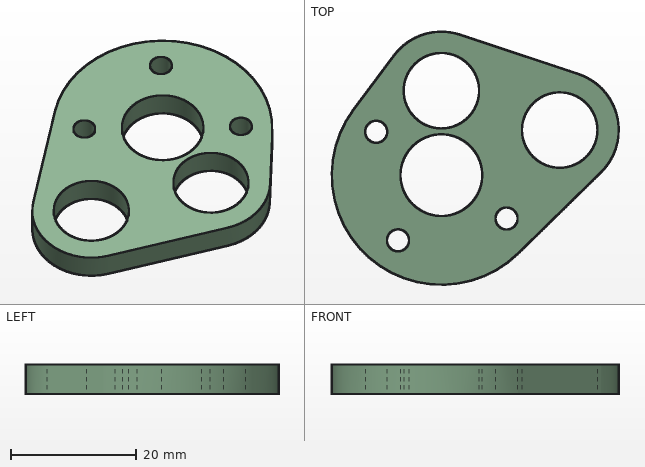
import cadquery as cq
import math

thickness = 4.75
main_radius = 17.5
lobe_radius = 9.45
main_bore_diameter = 13.0
lobe_bore_diameter = 12.0
screw_hole_diameter = 3.5
total_length = 45.8
total_width = 40.4
side_lobe_y = 7.2
screw_x, screw_y = 10.4, -6.9

main_center = (0.0, 0.0)
side_lobe = (total_length - main_radius - lobe_radius, side_lobe_y)
top_lobe = (0.0, total_width - main_radius - lobe_radius)

outline_circles = [
    (main_center, main_radius),
    (side_lobe, lobe_radius),
    (top_lobe, lobe_radius),
]


def tangent_angle(first, second):
    """Direction from either centre to its contact point on the shared outer tangent."""
    (x1, y1), r1 = first
    (x2, y2), r2 = second
    distance = math.hypot(x2 - x1, y2 - y1)
    return math.atan2(y2 - y1, x2 - x1) - math.acos((r1 - r2) / distance)


def point_on(circle, angle):
    (x, y), radius = circle
    return (x + radius * math.cos(angle), y + radius * math.sin(angle))


def make_plate():
    """Plate bounded by arcs of the three circles and their outer tangents."""
    count = len(outline_circles)
    exit_angles = [
        tangent_angle(outline_circles[i], outline_circles[(i + 1) % count])
        for i in range(count)
    ]
    outline = cq.Workplane("XY").moveTo(*point_on(outline_circles[0], exit_angles[-1]))
    for i, circle in enumerate(outline_circles):
        start = exit_angles[i - 1]
        sweep = (exit_angles[i] - start) % (2 * math.pi)
        if i > 0:
            outline = outline.lineTo(*point_on(circle, start))
        outline = outline.threePointArc(
            point_on(circle, start + sweep / 2), point_on(circle, start + sweep)
        )
    return outline.close().extrude(thickness)


def through_holes(centers, diameter):
    return cq.Workplane("XY").pushPoints(centers).circle(diameter / 2).extrude(thickness)


screw_centers = [
    (screw_x, screw_y),
    (screw_y, -screw_x),
    (-screw_x, -screw_y),
]

result = (
    make_plate()
    .cut(through_holes([main_center], main_bore_diameter))
    .cut(through_holes([side_lobe, top_lobe], lobe_bore_diameter))
    .cut(through_holes(screw_centers, screw_hole_diameter))
)